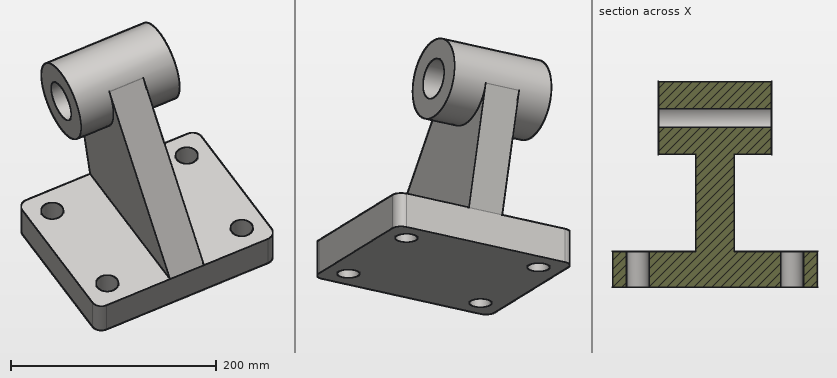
import cadquery as cq
import math

base_length = 160.0
base_width = 200.0
base_height = 35.0
corner_radius = 10.0

mount_hole_diameter = 22.0
mount_hole_inset = 25.0

boss_diameter = 80.0
boss_radius = boss_diameter / 2
bore_diameter = boss_diameter / 2
boss_width = 110.0
boss_x = 7.0
boss_z = 205 - boss_radius

rib_thickness = 38.0


def tangent_point(corner_x, side):
    """Point where a line from a top edge of the base touches the boss.

    side is -1 for the left of the boss and +1 for the right.
    """
    dx = corner_x - boss_x
    dz = base_height - boss_z
    direction = math.atan2(dz, dx)
    turn = math.acos(boss_radius / math.hypot(dx, dz))
    angle = direction + side * turn
    return (boss_x + boss_radius * math.cos(angle), boss_z + boss_radius * math.sin(angle))


def make_base():
    plate = (
        cq.Workplane("XY")
        .box(base_length, base_width, base_height, centered=(False, True, False))
        .edges("|Z")
        .fillet(corner_radius)
    )
    return (
        plate.faces(">Z")
        .workplane(origin=(base_length / 2, 0, base_height))
        .rect(base_length - 2 * mount_hole_inset, base_width - 2 * mount_hole_inset, forConstruction=True)
        .vertices()
        .hole(mount_hole_diameter)
    )


def boss_cylinder(diameter):
    return (
        cq.Workplane("XZ")
        .center(boss_x, boss_z)
        .circle(diameter / 2)
        .extrude(boss_width / 2, both=True)
    )


def make_rib():
    """Web whose sloping sides run tangent to the boss, filled in to the boss axis."""
    outline = [
        (0, base_height),
        (base_length, base_height),
        tangent_point(base_length, 1),
        (boss_x, boss_z),
        tangent_point(0, -1),
    ]
    return cq.Workplane("XZ").polyline(outline).close().extrude(rib_thickness / 2, both=True)


result = (
    make_base()
    .union(make_rib())
    .union(boss_cylinder(boss_diameter))
    .cut(boss_cylinder(bore_diameter))
)